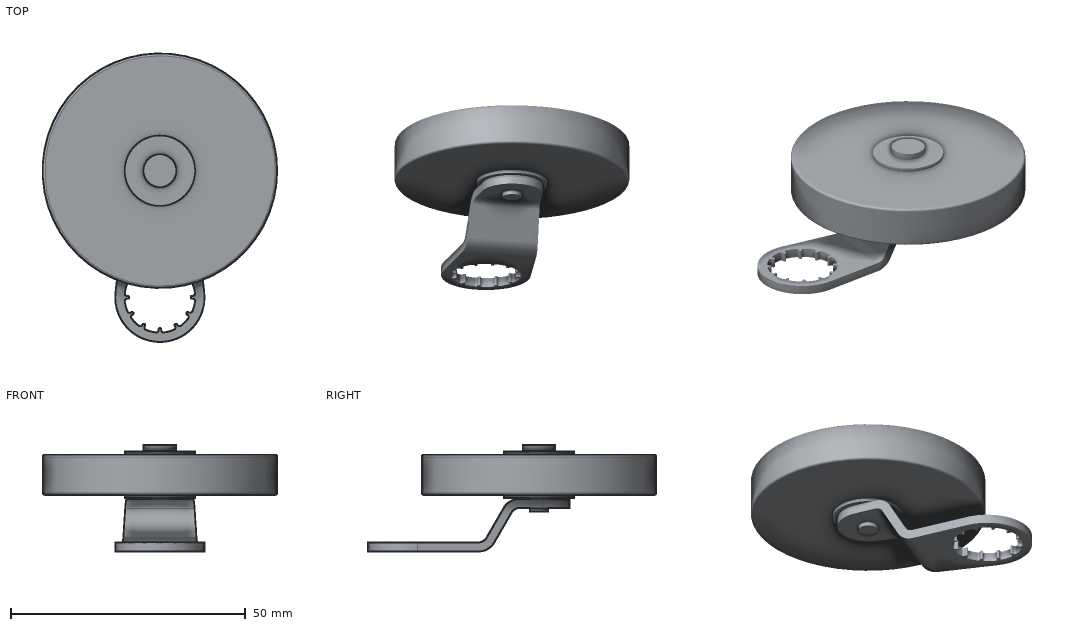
import cadquery as cq
import math

total_height = 22.75
total_length = 61.5

wheel_diameter = 50.0
rim_width = 8.6
rim_edge_radius = 0.5
boss_diameter = 15.0
boss_height = 0.7

plate = 1.95
arm_rise = 9.3
small_end_radius = 6.5
ring_radius = 9.5
bend_angle = 60.0
bend_inner_radius = 2.0
upper_bend_y = -6.4

hole_radius = 7.5
tooth_tip_radius = 6.5
tooth_width = 0.6
tooth_root_fillet = 0.5
tooth_count = 12

shank_diameter = 4.0
head_diameter = 7.0
shank_overhang = 0.8

axial_clearance = 0.1

wheel_radius = wheel_diameter / 2
ring_y = -(total_length - wheel_radius - ring_radius)
upper_flat_top = plate + arm_rise
wheel_bottom = upper_flat_top + axial_clearance
rim_bottom = wheel_bottom + boss_height
wheel_top = rim_bottom + rim_width + boss_height
head_bottom = wheel_top + axial_clearance
shank_bottom = arm_rise - shank_overhang


def make_wheel():
    rim = (
        cq.Workplane("XY", origin=(0, 0, rim_bottom))
        .circle(wheel_radius)
        .extrude(rim_width)
        .edges()
        .fillet(rim_edge_radius)
    )
    bosses = (
        cq.Workplane("XY", origin=(0, 0, wheel_bottom))
        .circle(boss_diameter / 2)
        .extrude(wheel_top - wheel_bottom)
    )
    bore = (
        cq.Workplane("XY", origin=(0, 0, wheel_bottom))
        .circle(shank_diameter / 2)
        .extrude(wheel_top - wheel_bottom)
    )
    return rim.union(bosses).cut(bore)


def make_arm_side_profile():
    """Constant-thickness cranked strip, extruded along X to the full width of the ring end."""
    bend = math.radians(bend_angle)
    lower_bend_y = upper_bend_y - arm_rise / math.tan(bend)
    corner_shift = plate * math.tan(bend / 2)
    end_y = small_end_radius
    tip_y = ring_y - ring_radius
    bend_outer_radius = bend_inner_radius + plate

    upper_outer = (upper_bend_y, upper_flat_top)
    upper_inner = (upper_bend_y + corner_shift, arm_rise)
    lower_inner = (lower_bend_y, plate)
    lower_outer = (lower_bend_y + corner_shift, 0)
    strip = (
        cq.Workplane("YZ")
        .polyline([
            (end_y, upper_flat_top), upper_outer, lower_inner, (tip_y, plate),
            (tip_y, 0), lower_outer, upper_inner, (end_y, arm_rise),
        ])
        .close()
        .extrude(ring_radius, both=True)
    )

    def round_bend(body, corner, radius):
        corner_edge = cq.selectors.NearestToPointSelector((0, *corner))
        return body.edges("|X").edges(corner_edge).fillet(radius)

    strip = round_bend(strip, upper_outer, bend_outer_radius)
    strip = round_bend(strip, upper_inner, bend_inner_radius)
    strip = round_bend(strip, lower_inner, bend_inner_radius)
    return round_bend(strip, lower_outer, bend_outer_radius)


def make_arm_plan():
    """Two round ends joined by their common tangents, as a full-height block."""
    taper = math.asin((ring_radius - small_end_radius) / -ring_y)
    small_x = small_end_radius * math.cos(taper)
    small_y = small_end_radius * math.sin(taper)
    ring_x = ring_radius * math.cos(taper)
    ring_tangent_y = ring_y + ring_radius * math.sin(taper)
    return (
        cq.Workplane("XY")
        .moveTo(small_x, small_y)
        .threePointArc((0, small_end_radius), (-small_x, small_y))
        .lineTo(-ring_x, ring_tangent_y)
        .threePointArc((0, ring_y - ring_radius), (ring_x, ring_tangent_y))
        .close()
        .extrude(upper_flat_top)
    )


def make_toothed_hole():
    """Solid that cuts the ring hole and leaves round-tipped teeth pointing inward."""
    hole = cq.Workplane("XY").circle(hole_radius).extrude(plate)
    tip_round = tooth_width / 2
    tip_center = tooth_tip_radius + tip_round
    tooth_end = hole_radius + tooth_width
    tooth = (
        cq.Workplane("XY")
        .moveTo(tooth_end, -tip_round)
        .lineTo(tip_center, -tip_round)
        .radiusArc((tooth_tip_radius, 0), tip_round)
        .radiusArc((tip_center, tip_round), tip_round)
        .lineTo(tooth_end, tip_round)
        .close()
        .extrude(plate)
    )
    for i in range(tooth_count):
        hole = hole.cut(tooth.rotate((0, 0, 0), (0, 0, 1), i * 360 / tooth_count))

    tip_clear = (tip_center + hole_radius) / 2
    inner_core = cq.Solid.makeCylinder(tip_clear, plate)
    roots = [e for e in hole.edges("|Z").vals() if not inner_core.isInside(e.Center())]
    hole = hole.newObject(roots).fillet(tooth_root_fillet)
    return hole.translate((0, ring_y, 0))


def make_arm():
    pin_hole = (
        cq.Workplane("XY", origin=(0, 0, arm_rise))
        .circle(shank_diameter / 2)
        .extrude(plate)
    )
    blank = make_arm_side_profile().intersect(make_arm_plan())
    return blank.cut(pin_hole).cut(make_toothed_hole())


def make_pin():
    shank = (
        cq.Workplane("XY", origin=(0, 0, shank_bottom))
        .circle(shank_diameter / 2)
        .extrude(head_bottom - shank_bottom)
    )
    head = (
        cq.Workplane("XY", origin=(0, 0, head_bottom))
        .circle(head_diameter / 2)
        .extrude(total_height - head_bottom)
    )
    return shank.union(head)


wheel = make_wheel()
arm = make_arm()
pin = make_pin()

result = cq.Compound.makeCompound([wheel.val(), arm.val(), pin.val()])